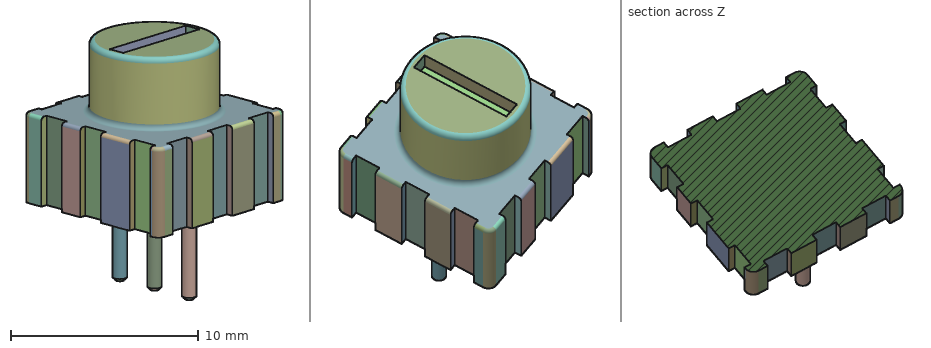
import cadquery as cq

housing_side = 10.0
housing_height = 5.0
corner_radius = 0.5
top_edge_radius = 0.2

groove_width = 1.5
groove_depth = 0.4
groove_x_positions = (-2.85, 0.0, 3.62)
groove_y_positions = (-3.15, 0.0, 3.2)

knob_diameter = 7.0
knob_height = 4.0
knob_edge_radius = 0.3
knob_base_radius = 0.3

slot_width = 1.0
slot_length = 5.95
slot_depth = 1.0

pin_diameter = 0.8
pin_length = 5.0
pin_chamfer = 0.2
pin_pitch = 2.54
pin_count = 3


def make_housing():
    """Square block standing on Z = 0, with rounded corners and top edge."""
    block = cq.Workplane("XY").box(
        housing_side, housing_side, housing_height, centered=(True, True, False)
    )
    return block.edges("|Z").fillet(corner_radius).faces(">Z").edges().fillet(top_edge_radius)


def make_groove(x, y, size_x, size_y):
    """Full-height cutter for one wall groove, centred on (x, y)."""
    return (
        cq.Workplane("XY")
        .center(x, y)
        .box(size_x, size_y, housing_height, centered=(True, True, False))
    )


def cut_grooves(body):
    """Cut the wall grooves, with opposite walls sharing the same positions."""
    wall = housing_side / 2
    cutter_depth = 2 * groove_depth
    for side in (-1, 1):
        for x in groove_x_positions:
            body = body.cut(make_groove(x, side * wall, groove_width, cutter_depth))
        for y in groove_y_positions:
            body = body.cut(make_groove(side * wall, y, cutter_depth, groove_width))
    return body


def make_knob():
    """Revolved knob with a rounded top edge and a concave flare at its base."""
    radius = knob_diameter / 2
    knob_top = housing_height + knob_height
    diagonal = 0.5 ** 0.5
    edge_centre = (radius - knob_edge_radius, knob_top - knob_edge_radius)
    flare_centre = (radius + knob_base_radius, housing_height + knob_base_radius)
    edge_middle = tuple(c + knob_edge_radius * diagonal for c in edge_centre)
    flare_middle = tuple(c - knob_base_radius * diagonal for c in flare_centre)
    profile = (
        cq.Workplane("XZ")
        .lineTo(0, knob_top)
        .lineTo(edge_centre[0], knob_top)
        .threePointArc(edge_middle, (radius, edge_centre[1]))
        .lineTo(radius, flare_centre[1])
        .threePointArc(flare_middle, (flare_centre[0], housing_height))
        .lineTo(flare_centre[0], 0)
        .close()
    )
    return profile.revolve(360, (0, 0, 0), (0, 1, 0))


def make_slot():
    """Cutter for the blind slot in the top of the knob, long side along Y."""
    slot_floor = housing_height + knob_height - slot_depth
    return (
        cq.Workplane("XY", origin=(0, 0, slot_floor))
        .rect(slot_width, slot_length)
        .extrude(slot_depth)
    )


def make_pins():
    """Row of round pins along X below the housing, with chamfered tips."""
    first_pin = -pin_pitch * (pin_count - 1) / 2
    pin_places = [(first_pin + i * pin_pitch, 0) for i in range(pin_count)]
    pins = cq.Workplane("XY").pushPoints(pin_places).circle(pin_diameter / 2).extrude(-pin_length)
    return pins.faces("<Z").edges().chamfer(pin_chamfer)


housing = cut_grooves(make_housing())
result = housing.union(make_knob()).cut(make_slot()).union(make_pins())